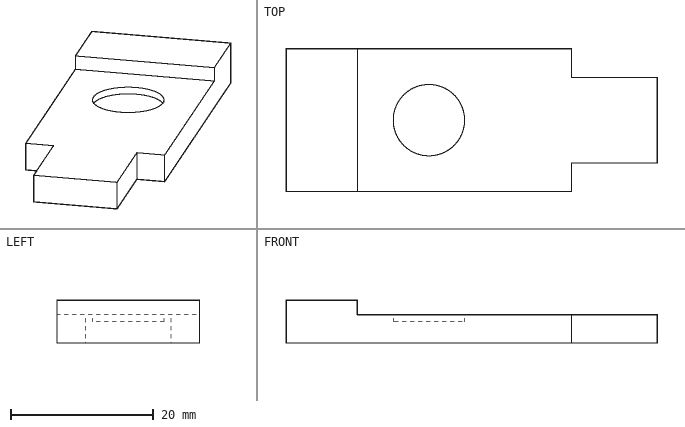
import cadquery as cq

body_length = 40.0
body_width = 20.0
plate_thickness = 4.0

block_length = 10.0
block_height = 6.0

tab_length = 12.0
tab_width = 12.0

pocket_diameter = 10.0
pocket_depth = 1.0
pocket_x = body_length / 2


def slab(start_x, length, width, height):
    """Box standing on Z = 0, centred on Y, running from start_x along +X."""
    return (
        cq.Workplane("XY")
        .box(length, width, height, centered=(False, True, False))
        .translate((start_x, 0, 0))
    )


def pocket_cutter():
    """Cylinder that sinks the round pocket into the plate top."""
    return (
        cq.Workplane("XY", origin=(pocket_x, 0, plate_thickness - pocket_depth))
        .circle(pocket_diameter / 2)
        .extrude(pocket_depth)
    )


plate = slab(0, body_length, body_width, plate_thickness)
end_block = slab(0, block_length, body_width, block_height)
tab = slab(body_length, tab_length, tab_width, plate_thickness)

result = plate.union(end_block).union(tab).cut(pocket_cutter())